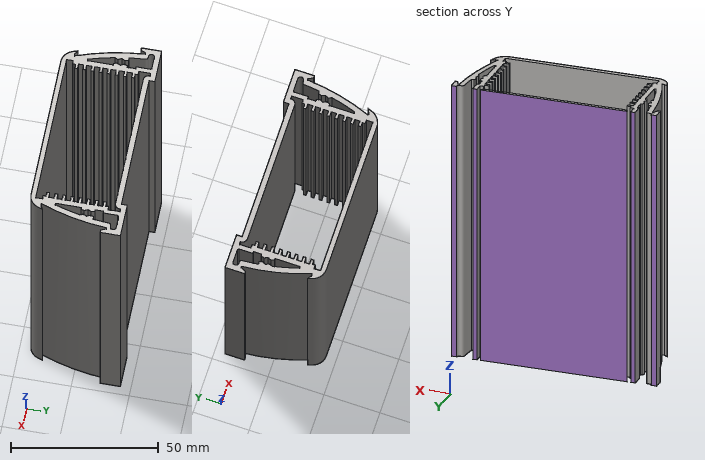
import cadquery as cq
import math


length = 100.0
width = 74.0
depth = 32.8
half_width = width / 2

wall = 1.8
back_panel_thickness = 2.0
rail_inner_x = 24.8
rail_height = 2.0
back_panel_y = depth - rail_height
back_panel_inner_y = back_panel_y - back_panel_thickness
panel_end_radius = 1.8
panel_end_x = 26.7

side_radius = 79.0
side_apex_x = 35.0
side_thickness = 2.0
side_center_x = side_apex_x - side_radius

hook_end_y = depth - 7.0
hook_root_y = depth - 5.2
hook_end_width = 0.9
hook_root_x = 35.3

lip_radius = 4.9
lip_angle = math.radians(20)
lip_tip_length = 1.9
lip_center_x = 26.6
lip_root_y = 4.1
lip_root_x = 30.4

cavity_half_width = 27.7
fin_wall_x = 26.7
fin_tip_x = 24.9
step_x = 26.4
step_height = 1.0

fin_count = 8
fin_pitch = 2.8
fin_thickness = 1.0
first_fin_y = 5.1
last_fin_top_y = first_fin_y + (fin_count - 1) * fin_pitch + fin_thickness

pocket_bottom_y = 8.8
pocket_inner_x = 28.6
pocket_neck_x = 29.3
pocket_neck_y = 25.4
pocket_corner = 0.4
slot_radius = 1.0
slot_end_x = 35.1
slot_corner_radius = 0.9

channel_bottom_y = 17.7
channel_top_y = 22.5
channel_center_x = 30.3
channel_half_width = 1.1
tooth_half_gap = 0.7
notch_half_gap = 1.3
tooth_ys = (18.9, 21.3)
notch_y = sum(tooth_ys) / 2


def side_x(y, inset=0.0):
    """X of the curved side wall at height y, moved inwards by inset."""
    radius = side_radius - inset
    return side_center_x + math.sqrt(radius**2 - (depth - y) ** 2)


def side_point(y, inset=0.0):
    return (side_x(y, inset), y)


def extrude(outline):
    return outline.close().extrude(length)


def box(x0, x1, y0, y1):
    return cq.Workplane("XY").box(x1 - x0, y1 - y0, length, centered=False).translate((x0, y0, 0))


def outer_half():
    """Solid half body: lip, curved side, hook, back rail and sunken panel."""
    lip_end = (
        lip_center_x + lip_radius * math.cos(lip_angle),
        lip_radius - lip_radius * math.sin(lip_angle),
    )
    lip_mid_angle = (lip_angle + math.pi / 2) / 2
    lip_mid = (
        lip_center_x + lip_radius * math.cos(lip_mid_angle),
        lip_radius - lip_radius * math.sin(lip_mid_angle),
    )
    lip_tip = (
        lip_end[0] + lip_tip_length * math.sin(lip_angle),
        lip_end[1] + lip_tip_length * math.cos(lip_angle),
    )
    side_mid_y = (lip_root_y + hook_root_y) / 2
    return extrude(
        cq.Workplane("XY")
        .moveTo(0, 0)
        .lineTo(lip_center_x, 0)
        .threePointArc(lip_mid, lip_end)
        .lineTo(*lip_tip)
        .lineTo(lip_root_x, lip_root_y)
        .lineTo(*side_point(lip_root_y))
        .threePointArc(side_point(side_mid_y), side_point(hook_root_y))
        .lineTo(hook_root_x, hook_root_y)
        .lineTo(half_width - hook_end_width, hook_end_y)
        .lineTo(half_width, hook_end_y)
        .lineTo(half_width, depth)
        .lineTo(rail_inner_x, depth)
        .lineTo(rail_inner_x, back_panel_y)
        .lineTo(0, back_panel_y)
    )


def cavity_half():
    """Main cavity, with its stepped inner wall and the rounded end of the back panel."""
    round_inset = panel_end_radius * (1 - math.sqrt(0.5))
    return extrude(
        cq.Workplane("XY")
        .moveTo(0, wall)
        .lineTo(cavity_half_width, wall)
        .lineTo(cavity_half_width, first_fin_y - step_height)
        .lineTo(step_x, first_fin_y - step_height)
        .lineTo(step_x, first_fin_y)
        .lineTo(fin_wall_x, first_fin_y)
        .lineTo(fin_wall_x, last_fin_top_y)
        .lineTo(step_x, last_fin_top_y)
        .lineTo(step_x, last_fin_top_y + step_height)
        .lineTo(cavity_half_width, last_fin_top_y + step_height)
        .lineTo(cavity_half_width, back_panel_y)
        .lineTo(panel_end_x, back_panel_y)
        .lineTo(panel_end_x, back_panel_inner_y + panel_end_radius)
        .threePointArc(
            (panel_end_x - round_inset, back_panel_inner_y + round_inset),
            (panel_end_x - panel_end_radius, back_panel_inner_y),
        )
        .lineTo(0, back_panel_inner_y)
    )


def fins():
    """Row of card guide fins on the inner wall."""
    row = cq.Workplane("XY")
    for i in range(fin_count):
        y = first_fin_y + i * fin_pitch
        row = row.union(box(fin_tip_x, cavity_half_width, y, y + fin_thickness))
    return row


def teeth(side):
    """Tooth and notch points from front to back; side is -1 for the inner row, 1 for the outer."""
    tooth_x = channel_center_x + side * tooth_half_gap
    notch_x = channel_center_x + side * notch_half_gap
    return [(tooth_x, tooth_ys[0]), (notch_x, notch_y), (tooth_x, tooth_ys[1])]


def pocket():
    """Side pocket: slot behind the hook, screw channel and tapered front end."""
    slot_center_x = slot_end_x - slot_radius
    slot_center_y = back_panel_y - slot_radius
    slot_bottom_y = slot_center_y - slot_radius
    corner_y = slot_bottom_y - slot_corner_radius
    corner_x = side_x(corner_y, side_thickness)
    corner_center_x = corner_x + slot_corner_radius
    corner_offset = slot_corner_radius * math.sqrt(0.5)
    channel_inner_x = channel_center_x - channel_half_width
    channel_outer_x = channel_center_x + channel_half_width

    outline = (
        cq.Workplane("XY")
        .moveTo(pocket_neck_x + pocket_corner, back_panel_y)
        .lineTo(slot_center_x, back_panel_y)
        .threePointArc((slot_end_x, slot_center_y), (slot_center_x, slot_bottom_y))
        .lineTo(corner_center_x, slot_bottom_y)
        .threePointArc(
            (corner_center_x - corner_offset, corner_y + corner_offset),
            (corner_x, corner_y),
        )
        .threePointArc(
            side_point((corner_y + channel_top_y) / 2, side_thickness),
            side_point(channel_top_y, side_thickness),
        )
        .lineTo(channel_outer_x, channel_top_y)
    )
    for point in reversed(teeth(1)):
        outline = outline.lineTo(*point)
    outline = (
        outline.lineTo(*side_point(channel_bottom_y, side_thickness))
        .threePointArc(
            side_point((channel_bottom_y + pocket_bottom_y) / 2, side_thickness),
            side_point(pocket_bottom_y, side_thickness),
        )
        .lineTo(pocket_inner_x, pocket_bottom_y)
        .lineTo(pocket_inner_x, channel_bottom_y)
        .lineTo(channel_inner_x, channel_bottom_y)
    )
    for point in teeth(-1):
        outline = outline.lineTo(*point)
    return extrude(
        outline.lineTo(channel_inner_x, channel_top_y)
        .lineTo(pocket_inner_x, channel_top_y)
        .lineTo(pocket_inner_x, pocket_neck_y)
        .lineTo(pocket_neck_x, pocket_neck_y)
        .lineTo(pocket_neck_x, back_panel_y - pocket_corner)
    )


half_body = outer_half().cut(cavity_half()).union(fins()).cut(pocket())
result = half_body.union(half_body.mirror("YZ")).clean()